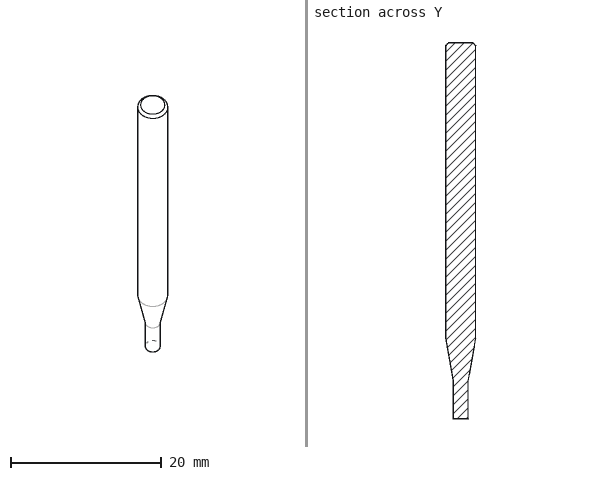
import cadquery as cq

total_length = 50.0
shank_diameter = 4.0
tip_diameter = 2.0
tip_length = 5.0
taper_top = 10.65
chamfer = 0.4

shank_radius = shank_diameter / 2
tip_radius = tip_diameter / 2

profile = (
    cq.Workplane("XZ")
    .moveTo(0, 0)
    .lineTo(tip_radius, 0)
    .lineTo(tip_radius, tip_length)
    .lineTo(shank_radius, taper_top)
    .lineTo(shank_radius, total_length - chamfer)
    .lineTo(shank_radius - chamfer, total_length)
    .lineTo(0, total_length)
    .close()
)

result = profile.revolve(360, (0, 0, 0), (0, 1, 0))